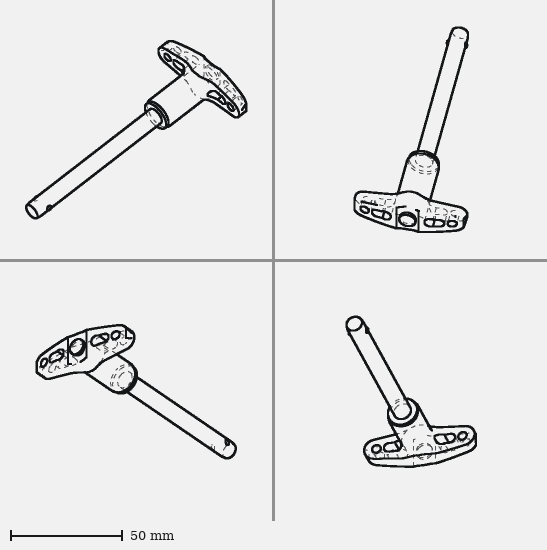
import cadquery as cq
import math


TOTAL_LENGTH = 114.0

HANDLE_LENGTH = 51.5
HANDLE_WIDTH = 15.8
END_RADIUS = 5.0
MIDDLE_RADIUS = HANDLE_WIDTH / 2
END_X = HANDLE_LENGTH / 2 - END_RADIUS

CROWN_RADIUS = 101.5
CROWN_DEPTH = 0.3
DISH_HALF_WIDTH = 5.1
DISH_DEPTH = 1.5
UNDERSIDE_DEPTH = 8.1
TIP_DEPTH = 8.8
TIP_FLAT_X = 24.4
TOP_EDGE_RADIUS = 0.2

END_FLAT_START_DEPTH = 8.0
END_FLAT_TILT = 10.0

FINGER_HOLE_X = 10.3
FINGER_HOLE_DIAMETER = 5.1
SLOT_END_X = 14.4
SLOT_WIDTH = 4.5
END_HOLE_X = 20.1
END_HOLE_DIAMETER = 4.0

COLLAR_RADIUS = 7.4
FLARE_RADIUS = 4.3
COLLAR_ROUND_DEPTH = 33.2
COLLAR_LIP_DEPTH = 34.5
COLLAR_END_DEPTH = 36.0
COLLAR_LIP_RADIUS = 6.8

BUTTON_RADIUS = 3.8
PIN_RADIUS = 4.0
TIP_TAPER_LENGTH = 2.0
TIP_RADIUS = 3.6
BALL_RADIUS = 1.5
BALL_REACH = 4.7
BALL_TO_TIP = 6.8

PICK_MARGIN = 0.1

SIDES = (-1, 1)


def crown_y(x):
    """Height of the crowned top of the handle at x."""
    return -CROWN_DEPTH - CROWN_RADIUS + math.sqrt(CROWN_RADIUS**2 - x**2)


def bulge_point(start, end, radius):
    """Middle of the XY arc from start to end that bulges to the left of its travel."""
    run = end[0] - start[0]
    rise = end[1] - start[1]
    chord = math.hypot(run, rise)
    sagitta = radius - math.sqrt(radius**2 - (chord / 2) ** 2)
    middle_x = (start[0] + end[0]) / 2
    middle_y = (start[1] + end[1]) / 2
    return (middle_x - sagitta * rise / chord, middle_y + sagitta * run / chord)


def outline_prism():
    """Plan outline of the handle, extended along Y past the flare below it."""
    tilt = math.asin((MIDDLE_RADIUS - END_RADIUS) / END_X)
    middle_x = MIDDLE_RADIUS * math.sin(tilt)
    middle_z = MIDDLE_RADIUS * math.cos(tilt)
    end_x = END_X + END_RADIUS * math.sin(tilt)
    end_z = END_RADIUS * math.cos(tilt)
    tip_x = HANDLE_LENGTH / 2
    return (
        cq.Workplane("XZ")
        .moveTo(-middle_x, middle_z)
        .threePointArc((0, MIDDLE_RADIUS), (middle_x, middle_z))
        .lineTo(end_x, end_z)
        .threePointArc((tip_x, 0), (end_x, -end_z))
        .lineTo(middle_x, -middle_z)
        .threePointArc((0, -MIDDLE_RADIUS), (-middle_x, -middle_z))
        .lineTo(-end_x, -end_z)
        .threePointArc((-tip_x, 0), (-end_x, end_z))
        .close()
        .extrude(COLLAR_ROUND_DEPTH)
    )


def handle_block():
    """Crowned block with a dished middle, wider than the handle and not yet trimmed to its outline."""
    tip_x = HANDLE_LENGTH / 2
    left_tip = (-tip_x, crown_y(tip_x))
    left_rim = (-DISH_HALF_WIDTH, crown_y(DISH_HALF_WIDTH))
    right_rim = (DISH_HALF_WIDTH, crown_y(DISH_HALF_WIDTH))
    right_tip = (tip_x, crown_y(tip_x))
    return (
        cq.Workplane("XY")
        .moveTo(*left_tip)
        .threePointArc(bulge_point(left_tip, left_rim, CROWN_RADIUS), left_rim)
        .threePointArc((0, -DISH_DEPTH), right_rim)
        .threePointArc(bulge_point(right_rim, right_tip, CROWN_RADIUS), right_tip)
        .lineTo(tip_x, -TIP_DEPTH)
        .lineTo(TIP_FLAT_X, -TIP_DEPTH)
        .threePointArc((0, -UNDERSIDE_DEPTH), (-TIP_FLAT_X, -TIP_DEPTH))
        .lineTo(-tip_x, -TIP_DEPTH)
        .close()
        .extrude(HANDLE_WIDTH, both=True)
    )


def flared_block():
    """Handle block with the collar blended into its underside by a concave flare."""
    collar = (
        cq.Workplane("XZ", origin=(0, -DISH_DEPTH, 0))
        .circle(COLLAR_RADIUS)
        .extrude(COLLAR_ROUND_DEPTH - DISH_DEPTH)
    )
    joint_region = cq.selectors.BoxSelector(
        (-COLLAR_RADIUS, -TIP_DEPTH, -COLLAR_RADIUS),
        (COLLAR_RADIUS, -UNDERSIDE_DEPTH + PICK_MARGIN, COLLAR_RADIUS),
    )
    return handle_block().union(collar).edges(joint_region).fillet(FLARE_RADIUS)


def handle_body():
    """Flared block trimmed to the plan outline, with flat ends and a rounded top edge."""
    body = flared_block().intersect(outline_prism()).cut(end_flats())
    tip_x = HANDLE_LENGTH / 2
    top_region = cq.selectors.BoxSelector(
        (-tip_x, 0, -HANDLE_WIDTH),
        (tip_x, crown_y(tip_x), HANDLE_WIDTH),
    )
    top_edges = body.edges("not |Z").edges("not |Y").edges(top_region)
    return top_edges.fillet(TOP_EDGE_RADIUS)


def end_flats():
    """Wedges that leave a sloped flat on each rounded end of the handle."""
    tip_x = HANDLE_LENGTH / 2
    inset = END_FLAT_START_DEPTH * math.tan(math.radians(END_FLAT_TILT))
    wedges = cq.Workplane("XY")
    for side in SIDES:
        wedge = (
            cq.Workplane("XY")
            .moveTo(side * tip_x, -END_FLAT_START_DEPTH)
            .lineTo(side * (tip_x - inset), 0)
            .lineTo(side * tip_x, 0)
            .close()
            .extrude(END_RADIUS, both=True)
        )
        wedges = wedges.add(wedge)
    return wedges.combine()


def handle_openings():
    """End hole, and slot widened by a round finger hole, on each side."""
    slot_length = SLOT_END_X - FINGER_HOLE_X
    openings = cq.Workplane("XZ")
    for side in SIDES:
        end_hole = cq.Workplane("XZ").center(side * END_HOLE_X, 0).circle(END_HOLE_DIAMETER / 2)
        finger_hole = cq.Workplane("XZ").center(side * FINGER_HOLE_X, 0).circle(FINGER_HOLE_DIAMETER / 2)
        slot = (
            cq.Workplane("XZ")
            .center(side * (FINGER_HOLE_X + slot_length / 2), 0)
            .slot2D(slot_length + SLOT_WIDTH, SLOT_WIDTH)
        )
        for shape in (end_hole, finger_hole, slot):
            openings = openings.add(shape.extrude(COLLAR_ROUND_DEPTH))
    return openings.combine()


def collar_and_pin():
    """Button, collar and pin turned about the pin axis as one stepped shaft."""
    lip_round_drop = COLLAR_RADIUS - COLLAR_LIP_RADIUS
    lip_round_length = COLLAR_LIP_DEPTH - COLLAR_ROUND_DEPTH
    lip_round_radius = (lip_round_length**2 + lip_round_drop**2) / (2 * lip_round_drop)
    round_start = (COLLAR_RADIUS, -COLLAR_ROUND_DEPTH)
    round_end = (COLLAR_LIP_RADIUS, -COLLAR_LIP_DEPTH)
    return (
        cq.Workplane("XY")
        .lineTo(BUTTON_RADIUS, 0)
        .lineTo(BUTTON_RADIUS, -UNDERSIDE_DEPTH)
        .lineTo(COLLAR_RADIUS, -UNDERSIDE_DEPTH)
        .lineTo(*round_start)
        .threePointArc(bulge_point(round_start, round_end, lip_round_radius), round_end)
        .lineTo(COLLAR_LIP_RADIUS, -COLLAR_END_DEPTH)
        .lineTo(PIN_RADIUS, -COLLAR_END_DEPTH)
        .lineTo(PIN_RADIUS, -TOTAL_LENGTH + TIP_TAPER_LENGTH)
        .lineTo(TIP_RADIUS, -TOTAL_LENGTH)
        .lineTo(0, -TOTAL_LENGTH)
        .close()
        .revolve(360, (0, 0), (0, 1))
    )


def locking_ball(side):
    """Ball that protrudes from one side of the pin near its tip."""
    centre_x = side * (BALL_REACH - BALL_RADIUS)
    centre_y = -TOTAL_LENGTH + BALL_TO_TIP
    return cq.Workplane("XY").sphere(BALL_RADIUS).translate((centre_x, centre_y, 0))


result = handle_body().cut(handle_openings()).union(collar_and_pin())
for side in SIDES:
    result = result.union(locking_ball(side))